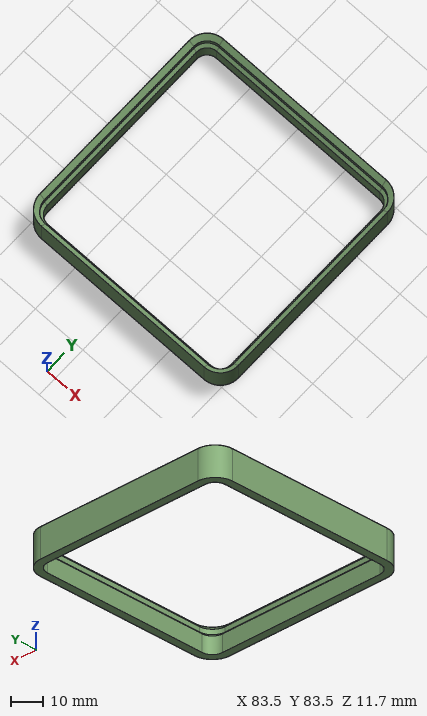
import cadquery as cq

side = 83.5
height = 11.7
corner_radius = 7.5

rim_bevel = 1.9
step_height = 1.9
lower_bevel = 1.2
wall_thickness = rim_bevel + lower_bevel

step_top = height - rim_bevel
step_bottom = step_top - step_height
wall_top = step_bottom - lower_bevel


def rounded_block(inset, bottom, top):
    """Rounded square block whose sides lie inset from the outer faces."""
    width = side - 2 * inset
    return (
        cq.Workplane("XY")
        .workplane(offset=bottom)
        .rect(width, width)
        .extrude(top - bottom)
        .edges("|Z")
        .fillet(corner_radius - inset)
    )


def bevelled_opening(inset, bottom, bevel, top):
    """Opening that widens at 45 degrees by bevel, ending at the top level."""
    flare = rounded_block(inset - bevel, bottom, top)
    flare = flare.faces("<Z").chamfer(bevel)
    return flare


frame = rounded_block(0, 0, height).cut(rounded_block(wall_thickness, 0, height))

frame = frame.cut(bevelled_opening(wall_thickness, wall_top, lower_bevel, step_top))

cutter_overrun = 0.8
result = frame.cut(bevelled_opening(rim_bevel, step_top, rim_bevel, height + cutter_overrun))